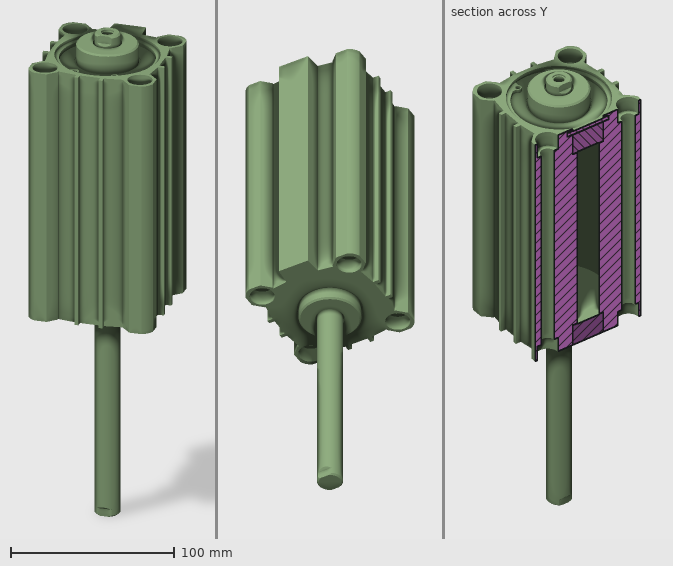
import cadquery as cq
import math

tube_length = 166.0
boss_height = 8.0
rod_reach_top = 7.0
rod_reach_bottom = 133.0

half_width = 40.0
lug_sides = 8
lug_apothem = 9.5
lug_offset = half_width - lug_apothem
wall_middle = 35.3
wall_beside_lug = 33.4
wall_flat_half = 9.0
wall_slope_end = 22.0
rail_inner = 6.5
rail_outer = 9.0
rail_reach = 39.0
port_block_reach = 46.0
port_block_top_half = 10.2
port_block_base_half = 11.2

bolt_diameter = 9.6
counterbore_diameter = 15.4
counterbore_depth = 10.5

bore_diameter = 63.0
seat_diameter = 65.1
groove_diameter = 68.2
ring_inner_diameter = 59.4
ring_thickness = 2.5
ring_recess = 2.0
ring_lug_x = 12.7
ring_lug_y = -25.4
ring_lug_top = -24.1
ring_lug_end_diameter = 4.8
ring_lug_hole = 3.2
ring_gap_half = 11.0
boss_diameter = 38.5
boss_chamfer = 1.0
moat_diameter = 40.5
moat_depth = 0.5
cover_thickness = 15.0
cover_recess_diameter = 18.0
cover_recess_depth = 3.0

rod_diameter = 16.0
rod_chamfer = 1.0
across_flats = 13.0
flat_length = 5.0
tap_mouth_diameter = 8.25
tap_diameter = 6.65
tap_depth = 15.0
tap_mouth_depth = 1.0

ring_top = tube_length - ring_recess
ring_bottom = ring_top - ring_thickness


def disc(diameter, bottom, top):
    return cq.Workplane("XY").workplane(offset=bottom).circle(diameter / 2).extrude(top - bottom)


def prism(points):
    return cq.Workplane("XY").polyline(points).close().extrude(tube_length)


def make_tube():
    wall = [
        (-wall_slope_end, wall_beside_lug),
        (-wall_flat_half, wall_middle),
        (wall_flat_half, wall_middle),
        (wall_slope_end, wall_beside_lug),
    ]
    outline = []
    for turn in range(4):
        angle = -turn * math.pi / 2
        for x, y in wall:
            outline.append((x * math.cos(angle) - y * math.sin(angle),
                            x * math.sin(angle) + y * math.cos(angle)))
    tube = prism(outline)

    lug_circle = 2 * lug_apothem / math.cos(math.pi / lug_sides)
    corners = [(sx * lug_offset, sy * lug_offset) for sx in (-1, 1) for sy in (-1, 1)]
    for x, y in corners:
        lug = (
            cq.Workplane("XY").polygon(lug_sides, lug_circle).extrude(tube_length)
            .rotate((0, 0, 0), (0, 0, 1), 180 / lug_sides)
        )
        outer_quarter = (
            cq.Workplane("XY").rect(lug_apothem, lug_apothem).extrude(tube_length)
            .translate((math.copysign(lug_apothem / 2, x), math.copysign(lug_apothem / 2, y), 0))
        )
        rounding = disc(lug_circle, 0, tube_length).intersect(outer_quarter)
        tube = tube.union(lug.union(rounding).translate((x, y, 0)))

    for angle in (90, 180, 270):
        for side in (-1, 1):
            rail = prism([
                (side * rail_inner, 0),
                (side * rail_inner, rail_reach),
                (side * rail_outer, rail_reach),
                (side * rail_outer, 0),
            ])
            tube = tube.union(rail.rotate((0, 0, 0), (0, 0, 1), angle))

    tube = tube.union(prism([
        (-port_block_base_half, 0),
        (-port_block_base_half, wall_beside_lug),
        (-port_block_top_half, port_block_reach),
        (port_block_top_half, port_block_reach),
        (port_block_base_half, wall_beside_lug),
        (port_block_base_half, 0),
    ]))

    tube = tube.cut(disc(bore_diameter, 0, tube_length))
    tube = tube.cut(disc(seat_diameter, 0, cover_thickness))
    tube = tube.cut(disc(seat_diameter, ring_bottom - cover_thickness, tube_length))
    tube = tube.cut(disc(groove_diameter, ring_bottom, ring_top))

    for x, y in corners:
        tube = tube.cut(disc(bolt_diameter, 0, tube_length).translate((x, y, 0)))
        for bottom in (0, tube_length - counterbore_depth):
            recess = disc(counterbore_diameter, bottom, bottom + counterbore_depth)
            tube = tube.cut(recess.translate((x, y, 0)))
    return tube


def make_cover(inner_face, outer_face, boss_end):
    """Bearing cover in the bore, with a chamfered boss reaching out to boss_end."""
    outward = math.copysign(1, boss_end - inner_face)
    plane = cq.Workplane(cq.Plane((0, 0, inner_face), (1, 0, 0), (0, 0, outward)))
    thickness = abs(outer_face - inner_face)
    height = abs(boss_end - inner_face)
    plate = plane.circle(seat_diameter / 2).extrude(thickness)
    boss = plane.circle(boss_diameter / 2).extrude(height).faces(">Z" if outward > 0 else "<Z")
    boss = boss.chamfer(boss_chamfer)
    moat = (
        plane.workplane(offset=thickness - moat_depth)
        .circle(moat_diameter / 2).circle(boss_diameter / 2).extrude(moat_depth)
    )
    cover = plate.union(boss).cut(moat).cut(plane.circle(rod_diameter / 2).extrude(height))
    recess = plane.workplane(offset=height - cover_recess_depth)
    return cover.cut(recess.circle(cover_recess_diameter / 2).extrude(cover_recess_depth))


def make_retaining_ring():
    """Internal circlip, open on the -Y side, with two plier lugs beside the gap."""
    ring = disc(groove_diameter, ring_bottom, ring_top)
    ring = ring.cut(disc(ring_inner_diameter, ring_bottom, ring_top))

    bore_radius = bore_diameter / 2
    lug_side = (
        cq.Workplane("XY").workplane(offset=ring_bottom)
        .center(0, ring_lug_top - bore_radius / 2).rect(bore_diameter, bore_radius).extrude(ring_thickness)
    )
    lugs = lug_side.intersect(disc(bore_diameter, ring_bottom, ring_top))
    gap = (
        cq.Workplane("XY").workplane(offset=ring_bottom)
        .center(0, -bore_radius).rect(2 * ring_gap_half, bore_radius).extrude(ring_thickness)
    )
    ring = ring.union(lugs).cut(gap)
    for x in (-ring_lug_x, ring_lug_x):
        lug_end = disc(ring_lug_end_diameter, ring_bottom, ring_top)
        plier_hole = disc(ring_lug_hole, ring_bottom, ring_top)
        ring = ring.union(lug_end.translate((x, ring_lug_y, 0)))
        ring = ring.cut(plier_hole.translate((x, ring_lug_y, 0)))
    return ring


def make_rod():
    bottom = -boss_height - rod_reach_bottom
    top = tube_length + boss_height + rod_reach_top
    rod = disc(rod_diameter, bottom, top).faces("<Z or >Z").chamfer(rod_chamfer)

    flat = across_flats / 2
    outer = rod_diameter / 2
    runout = outer - flat
    for end, inward in ((bottom, 1), (top, -1)):
        for side in (-1, 1):
            cutter = (
                cq.Workplane("YZ")
                .polyline([
                    (side * flat, end),
                    (side * flat, end + inward * flat_length),
                    (side * outer, end + inward * (flat_length + runout)),
                    (side * outer, end),
                ])
                .close().extrude(rod_diameter / 2, both=True)
            )
            rod = rod.cut(cutter)

    rod = rod.cut(disc(tap_diameter, top - tap_depth, top))
    return rod.cut(disc(tap_mouth_diameter, top - tap_mouth_depth, top))


tube = make_tube()
top_cover = make_cover(ring_bottom - cover_thickness, ring_bottom, tube_length + boss_height)
bottom_cover = make_cover(cover_thickness, 0, -boss_height)
ring = make_retaining_ring()
rod = make_rod()

result = cq.Compound.makeCompound(
    [tube.val(), top_cover.val(), bottom_cover.val(), ring.val(), rod.val()])